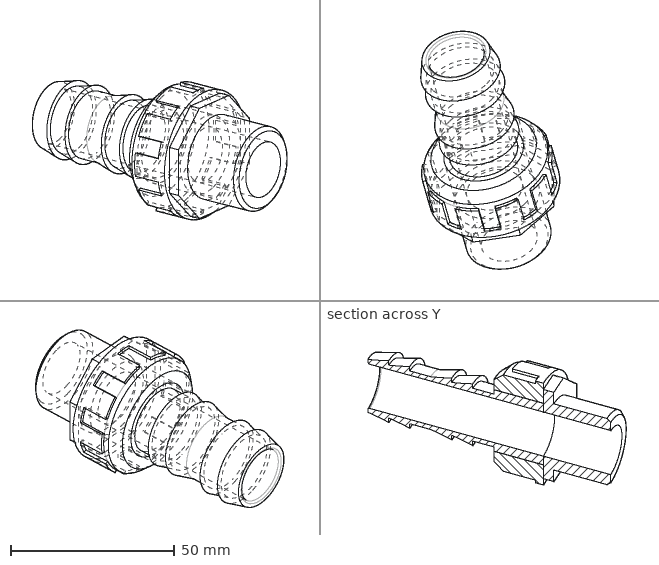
import cadquery as cq
import math


total_length = 81.0
nut_start = 42.0
nut_end = 58.6
octagon_end = 62.05

bore_radius = 8.75
mouth_round = 0.65

tail_radius = 10.7
barb_radius = 12.5
section_count = 6
barbed_sections = (0, 1, 3, 4)
section_length = nut_start / section_count
collar_radius = barb_radius

nut_radius = 20.5
nut_front_radius = 16.5
nut_recess_radius = 19.4
nut_cone_length = 3.15
band_start = 47.1
notch_end = 55.9
notch_count = 10
notch_width = 5.2

octagon_across_flats = 35.9
octagon_sides = 8
pipe_radius = 13.4
pipe_chamfer = 1.2


def cylinder(radius, start, end):
    """Solid cylinder on the X axis between two positions."""
    return cq.Workplane("YZ").workplane(offset=start).circle(radius).extrude(end - start)


def make_barb(start):
    """Cone that widens away from the hose mouth to a sharp shoulder."""
    end = start + section_length
    profile = [(start, 0), (start, tail_radius), (end, barb_radius), (end, 0)]
    return cq.Workplane("XY").polyline(profile).close().revolve(360, (0, 0, 0), (1, 0, 0))


def make_hose_tail():
    """Barbed tube with a rounded mouth and a collar that fills the nut bore."""
    tail = cylinder(tail_radius, 0, nut_start)
    for section in barbed_sections:
        tail = tail.union(make_barb(section * section_length))
    tail = tail.union(cylinder(collar_radius, nut_start, nut_end))
    tail = tail.cut(cylinder(bore_radius, 0, nut_end))
    mouth_edge = cq.selectors.RadiusNthSelector(0)
    return tail.faces("<X").edges(mouth_edge).fillet(mouth_round)


def make_notch():
    """Parallel-sided cutter for the top notch, with its floor on the recess radius."""
    notch_length = notch_end - band_start
    block = (
        cq.Workplane("XY")
        .box(notch_length, notch_width, 2 * nut_radius, centered=(False, True, False))
        .translate((band_start, 0, 0))
    )
    return block.cut(cylinder(nut_recess_radius, band_start, notch_end))


def make_nut():
    """Ring with a conical front and a raised band that is notched for grip."""
    profile = [
        (nut_start, collar_radius),
        (nut_start, nut_front_radius),
        (nut_start + nut_cone_length, nut_recess_radius),
        (band_start, nut_recess_radius),
        (band_start, nut_radius),
        (nut_end, nut_radius),
        (nut_end, collar_radius),
    ]
    nut = cq.Workplane("XY").polyline(profile).close().revolve(360, (0, 0, 0), (1, 0, 0))
    notch = make_notch()
    for index in range(notch_count):
        angle = index * 360 / notch_count
        nut = nut.cut(notch.rotate((0, 0, 0), (1, 0, 0), angle))
    return nut


def make_pipe_end():
    """Octagonal flange against the nut, followed by a plain pipe with a chamfered end."""
    corner_diameter = octagon_across_flats / math.cos(math.pi / octagon_sides)
    octagon = (
        cq.Workplane("YZ")
        .workplane(offset=nut_end)
        .polygon(octagon_sides, corner_diameter)
        .extrude(octagon_end - nut_end)
        .rotate((0, 0, 0), (1, 0, 0), 180 / octagon_sides)
    )
    pipe = cylinder(pipe_radius, octagon_end, total_length).faces(">X").chamfer(pipe_chamfer)
    return octagon.union(pipe).cut(cylinder(bore_radius, nut_end, total_length))


hose_tail = make_hose_tail()
nut = make_nut()
pipe_end = make_pipe_end()

result = cq.Compound.makeCompound([hose_tail.val(), nut.val(), pipe_end.val()])